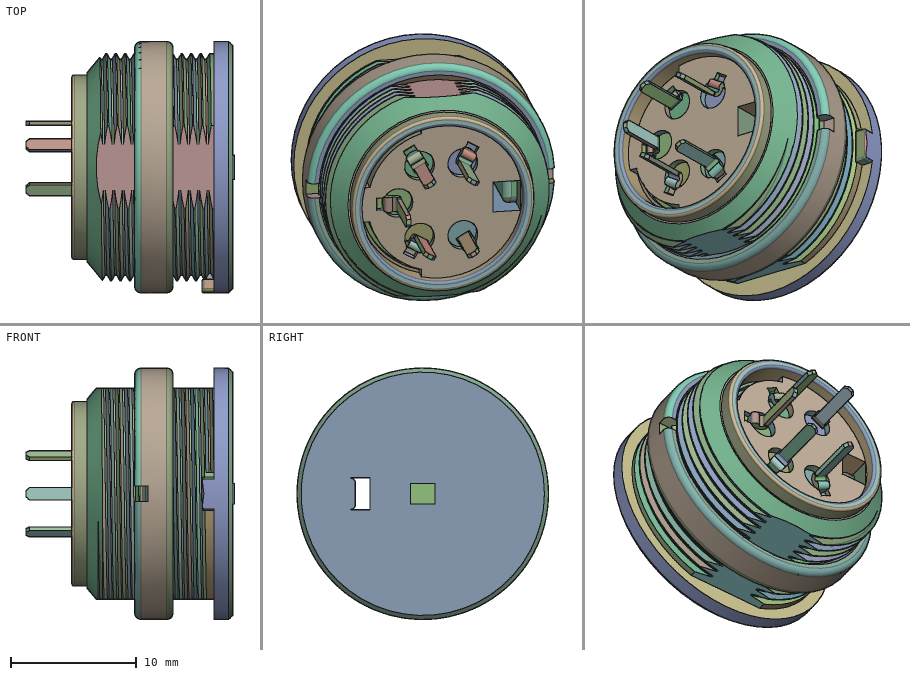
import cadquery as cq
import math


flange_radius = 10.0
flange_thickness = 1.5
flange_chamfer = 0.33
mark_height = 0.15
mark_width_y = 1.94
mark_width_z = 1.66

crest_radius = 9.03
root_radius = 8.6
flat_height = 8.4
tube_radius = 7.35
rim_round = 0.22
tube_end_x = -11.3
cone_start_x = -10.1
cone_start_radius = 7.5
cone_end_x = -8.84

pitch = 0.75
root_width = 0.15
flank_angle = math.radians(30)
groove_start_x = -9.3
groove_turns = 11.97
groove_overcut = 0.15

cavity_radius = 6.55
cavity_depth = 1.0
floor_x = tube_end_x + cavity_depth
recess_radius = 5.95
recess_step_radius = 6.3
recess_step_depth = 1.0
recess_depth = 1.5
recess_min_y = 1.6
recess_min_z = 1.45

window_inner_y = -4.2
window_outer_y = -6.4
window_half_width = 1.26
key_y = -5.35
key_depth = 1.5
key_corner_round = 0.4
key_nose_round = 0.6

pin_circle_radius = 3.5
pin_angles = (-120, -60, 0, 60, 120)
pin_tip_x = -14.95
pin_width = 1.0
pin_thickness = 0.35
pin_tip_chamfer = 0.28
pin_well_radius = 1.2
pin_well_depth = 0.6
pin_foot_width = 1.24
pin_bend_radius = 0.25
pin_bend_height = 0.45
knuckle_radius = 0.36
knuckle_y = 4.27
foot_slot_depth = 0.4
foot_slot_end_y = 5.24
foot_slot_end_slope = 0.12

nut_radius = 10.0
nut_bore_radius = 8.55
nut_mouth_radius = 9.15
nut_start_x = -6.3
nut_width = 3.05
nut_round = 0.5
nut_slot_width = 1.2
nut_slot_depth = 1.05

tab_length = 0.95
tab_width = 2.66
tab_inner_y = -8.9
tab_round = 0.35
tab_edge_round = 0.15


def along_x(start_x, length, radius):
    """Cylinder on the X axis."""
    return cq.Workplane("YZ", origin=(start_x, 0, 0)).circle(radius).extrude(length)


def box_between(x0, x1, y0, y1, z0, z1):
    return cq.Workplane("XY").box(x1 - x0, y1 - y0, z1 - z0, centered=False).translate((x0, y0, z0))


def cone_along_x(start_x, length, start_radius, end_radius):
    """Truncated cone on the X axis."""
    start = cq.Vector(start_x, 0, 0)
    return cq.Workplane(cq.Solid.makeCone(start_radius, end_radius, length, start, cq.Vector(1, 0, 0)))


def make_body():
    outline = [
        (tube_end_x, 0),
        (tube_end_x, tube_radius),
        (cone_start_x, tube_radius),
        (cone_start_x, cone_start_radius),
        (cone_end_x, crest_radius),
        (0, crest_radius),
        (0, 0),
    ]
    body = cq.Workplane("XY").polyline(outline).close().revolve(360, (0, 0, 0), (1, 0, 0))
    body = body.cut(along_x(tube_end_x, cavity_depth, cavity_radius))
    return body.faces("<X").edges().fillet(rim_round)


def make_thread_groove():
    """Right-handed V groove, starting on the -Y side of the body."""
    height = groove_turns * pitch
    path = cq.Wire.makeHelix(pitch, height, root_radius)
    depth = crest_radius + groove_overcut - root_radius
    half_root = root_width / 2
    half_mouth = half_root + depth * math.tan(flank_angle)
    groove = (
        cq.Workplane("XZ")
        .polyline([
            (root_radius, -half_root),
            (root_radius + depth, -half_mouth),
            (root_radius + depth, half_mouth),
            (root_radius, half_root),
        ])
        .close()
        .sweep(cq.Workplane(path), isFrenet=True)
    )
    groove = groove.rotate((0, 0, 0), (0, 1, 0), 90)
    groove = groove.rotate((0, 0, 0), (1, 0, 0), -90)
    return groove.translate((groove_start_x, 0, 0))


def cut_flats(body):
    keep = box_between(tube_end_x, 0, -flange_radius, flange_radius, -flat_height, flat_height)
    return body.intersect(keep)


def make_flange():
    flange = along_x(0, flange_thickness, flange_radius).faces(">X").chamfer(flange_chamfer)
    mark = box_between(
        0, flange_thickness + mark_height,
        -mark_width_y / 2, mark_width_y / 2,
        -mark_width_z / 2, mark_width_z / 2,
    )
    return flange.union(mark)


def make_tab():
    tab = box_between(
        -tab_length, flange_thickness / 2,
        -flange_radius, tab_inner_y,
        -tab_width / 2, tab_width / 2,
    )
    tab = tab.edges("|X and <Y").fillet(tab_round)
    tab = tab.faces("<X").edges().fillet(tab_edge_round)
    return tab.intersect(along_x(-tab_length, tab_length + flange_thickness, flange_radius))


def make_floor_recesses():
    """Two arc-shaped recesses in the cavity floor, mirrored about Z = 0."""
    rings = along_x(floor_x, recess_step_depth, cavity_radius)
    rings = rings.union(along_x(floor_x, recess_depth, recess_step_radius))
    rings = rings.cut(along_x(floor_x, recess_depth, recess_radius))
    sector = box_between(
        floor_x, floor_x + recess_depth, recess_min_y, flange_radius, recess_min_z, flange_radius,
    )
    recess = rings.intersect(sector)
    return recess.union(recess.mirror("XY"))


def make_window():
    """Through window with a rounded key standing in its outer half."""
    window = box_between(
        floor_x, flange_thickness, window_outer_y, window_inner_y,
        -window_half_width, window_half_width,
    )
    key = box_between(
        floor_x + key_depth, flange_thickness, window_outer_y, key_y,
        -window_half_width, window_half_width,
    )
    key = key.edges("|X and >Y").fillet(key_corner_round)
    key = key.faces("<X").edges(">Y").fillet(key_nose_round)
    return window.cut(key)


def make_pin():
    """Flat blade whose foot bends outward into a rounded knuckle in the pin well."""
    inner_y = pin_circle_radius - pin_thickness / 2
    outer_y = pin_circle_radius + pin_thickness / 2
    bend_x = floor_x - pin_bend_height
    well_floor_x = floor_x + pin_well_depth
    blade = box_between(pin_tip_x, bend_x, inner_y, outer_y, -pin_width / 2, pin_width / 2)
    blade = blade.faces("<X").edges("|Y").chamfer(pin_tip_chamfer)

    bend_y = outer_y + pin_bend_radius
    outer_bend_radius = pin_bend_radius + pin_thickness
    leg_inner_y = knuckle_y + knuckle_radius - pin_thickness
    diagonal = math.sqrt(0.5)
    knuckle_start_x = bend_x + pin_bend_radius
    knuckle_start_y = knuckle_y - math.sqrt(knuckle_radius ** 2 - (floor_x - knuckle_start_x) ** 2)
    foot = (
        cq.Workplane("XY", origin=(0, 0, -pin_foot_width / 2))
        .moveTo(bend_x, outer_y)
        .threePointArc(
            (bend_x + pin_bend_radius * diagonal, bend_y - pin_bend_radius * diagonal),
            (knuckle_start_x, bend_y),
        )
        .lineTo(knuckle_start_x, knuckle_start_y)
        .threePointArc((floor_x - knuckle_radius, knuckle_y), (floor_x, knuckle_y + knuckle_radius))
        .lineTo(well_floor_x, knuckle_y + knuckle_radius)
        .lineTo(well_floor_x, leg_inner_y)
        .lineTo(bend_x + outer_bend_radius, leg_inner_y)
        .lineTo(bend_x + outer_bend_radius, bend_y)
        .threePointArc(
            (bend_x + outer_bend_radius * diagonal, bend_y - outer_bend_radius * diagonal),
            (bend_x, inner_y),
        )
        .close()
        .extrude(pin_foot_width)
    )
    return blade.union(foot)


def make_foot_slot():
    """Shallow slot in the cavity floor, outward of a pin."""
    slot_floor_x = floor_x + foot_slot_depth
    return (
        cq.Workplane("XY", origin=(0, 0, -pin_width / 2))
        .moveTo(floor_x, knuckle_y)
        .lineTo(floor_x, foot_slot_end_y)
        .lineTo(slot_floor_x, foot_slot_end_y - foot_slot_end_slope)
        .lineTo(slot_floor_x, knuckle_y)
        .close()
        .extrude(pin_width)
    )


def at_pins(shape):
    """Copies of a shape at every pin angle, gathered in one compound."""
    copies = [shape.rotate((0, 0, 0), (1, 0, 0), angle).val() for angle in pin_angles]
    return cq.Workplane(cq.Compound.makeCompound(copies))


def make_nut():
    mouth_depth = nut_mouth_radius - nut_bore_radius
    nut = along_x(nut_start_x, nut_width, nut_radius).edges().fillet(nut_round)
    nut = nut.cut(along_x(nut_start_x, nut_width, nut_bore_radius))
    nut = nut.cut(cone_along_x(nut_start_x, mouth_depth, nut_mouth_radius, nut_bore_radius))
    slot = box_between(
        nut_start_x, nut_start_x + nut_slot_depth, -nut_radius, nut_radius,
        -nut_slot_width / 2, nut_slot_width / 2,
    )
    return nut.cut(slot)


def make_pin_well():
    return along_x(floor_x, pin_well_depth, pin_well_radius).translate((0, pin_circle_radius, 0))


result = cut_flats(make_body().cut(make_thread_groove()))
result = result.union(make_flange()).union(make_tab()).union(make_nut())
result = result.cut(make_floor_recesses()).cut(make_window())
result = result.cut(at_pins(make_pin_well())).cut(at_pins(make_foot_slot()))
result = result.union(at_pins(make_pin()))